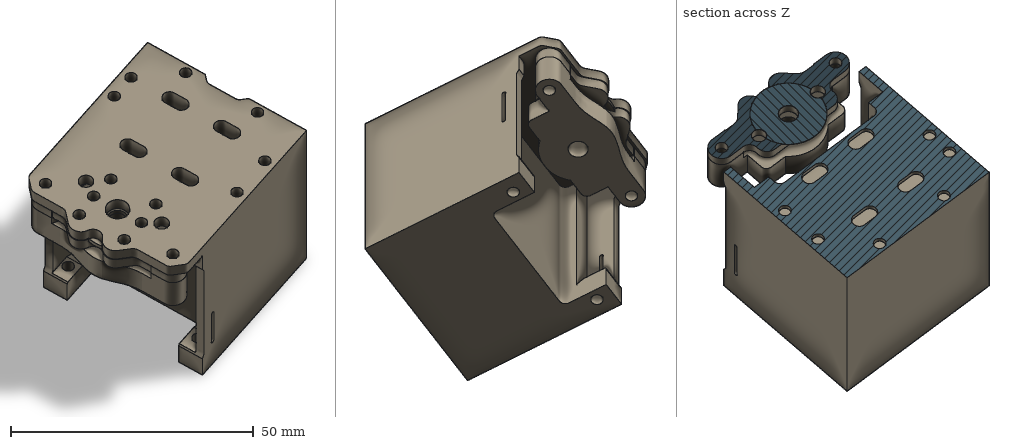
import cadquery as cq
import math

HEIGHT = 42.75
PLATE_BOTTOM = 39.75
CLAMP_BOTTOM = 36.8
BRACKET_TOP = 35.0
BRACKET_BOTTOM = 29.1

WIDTH = 40.0
DEPTH = 48.85
HALF_WIDTH = WIDTH / 2
PLATE_FRONT = 3.35
PLATE_CHAMFER = 2.85
PLATE_CORNER_RADIUS = 1.45
LEG_FRONT = 11.55

LEG_WALL = 2.0
FOOT_TOP = 5.85
FOOT_RAMP_LENGTH = 1.65
FOOT_RAMP_DROP = 0.8
UPPER_POCKET_BACK = 18.7
FOOT_WIDTH = 6.0
LOWER_POCKET_BACK = 22.0
POCKET_CORNER_RADIUS = 1.45
FOOT_HOLE_X = 16.3
FOOT_HOLE_Y = 15.2

STEP_DEPTH = 0.65
STEP_BOTTOM = 5.4
STEP_TOP = 35.3
STEP_SLOPE = 60.0
STEP_ROUND = 1.8

SLIT_Y = FOOT_HOLE_Y
SLIT_WIDTH = 0.9
SLIT_HEIGHT = 9.95
LEFT_SLIT_BOTTOM = 20.05
RIGHT_SLIT_BOTTOM = 7.2

NOTCH_HALF_WIDTH = 5.45
NOTCH_DEPTH = 1.6
NOTCH_CORNER_RADIUS = 1.45

SCREW_DIAMETER = 2.55
BLIND_DEPTH = 4.9
SLOT_LENGTH = 6.1
SLOT_WIDTH = 3.2
SLOT_X = 6.5
SLOT_ROWS = [24.6, 39.63]
REAR_SCREWS = [(-9.05, 46.9), (9.05, 46.9)]
SIDE_SCREWS = [(-17.55, 39.45), (-17.55, 33.4), (17.55, 37.45), (17.55, 27.4)]

HUB_Y = 9.63
HUB_BORE = 4.1
PLATE_BORE = 5.05
DISC_RADIUS = 7.95
DISC_THICKNESS = 1.05
HUB_RADIUS = 8.15
HUB_SCREW_OFFSET = 5.65
HUB_SIDE_HOLE_X = 6.0
PEG_HOLE_X = 8.25
PEG_HOLE_DIAMETER = 3.1
ACCESS_HOLE_X = 9.55
ACCESS_HOLE_OFFSET = 2.25
ACCESS_DIAMETER = 3.2

LOBE_RADIUS = 2.7
LOBE_X = 4.3
NOSE_NOTCH_RADIUS = 2.0
NOSE_NOTCH_Y = LOBE_RADIUS - math.sqrt((LOBE_RADIUS + NOSE_NOTCH_RADIUS) ** 2 - LOBE_X ** 2)
PLATE_NOSE_FILLET = 1.95

POST_X = 16.05
POST_Y = 6.65
POST_RADIUS = 2.9
PAD_RADIUS = 4.55
ARM_FRONT = POST_Y - POST_RADIUS
ARM_BACK = POST_Y + POST_RADIUS

CLAMP_FRONT = 3.9
CLAMP_HALF_WIDTH = 10.7
CLAMP_BACK = 14.45
CLAMP_BACK_RADIUS = 2.45
CLAMP_INNER_RADIUS = 1.95
CLAMP_NOSE_INSET = 0.15
CLAMP_NOSE_FILLET = 2.3

BRACKET_HALF_WIDTH = POST_X - PAD_RADIUS
BRACKET_BACK = 15.2
BRACKET_BACK_RADIUS = 1.45
BRACKET_FRONT_HALF_WIDTH = 10.3
HUB_FRONT_HALF_WIDTH = 1.7


def block(x_min, x_max, y_min, y_max, z_min, z_max):
    size = (x_max - x_min, y_max - y_min, z_max - z_min)
    return cq.Workplane("XY").box(*size, centered=False).translate((x_min, y_min, z_min))


def cylinders(points, diameter, z_min, z_max):
    plane = cq.Workplane("XY").workplane(offset=z_min)
    return plane.pushPoints(points).circle(diameter / 2).extrude(z_max - z_min)


def mirrored(x, y):
    return [(-x, y), (x, y)]


def nose(base_y, inset, fillet, z_min, z_max):
    """Two-lobed nose in front of the line y = base_y, blended into that line by fillets."""
    lobe = LOBE_RADIUS - inset
    notch = NOSE_NOTCH_RADIUS + inset
    diagonal = math.sqrt(0.5)
    flank_x = LOBE_X + lobe * diagonal
    flank_y = LOBE_RADIUS - lobe * diagonal
    corner_x = flank_x + base_y - flank_y
    half_turn = math.radians(22.5)
    tangent = fillet * math.tan(half_turn)
    fillet_mid = (
        corner_x + tangent - fillet * math.sin(half_turn),
        base_y - fillet + fillet * math.cos(half_turn),
    )
    share = notch / (lobe + notch)
    meet_x = LOBE_X * share
    meet_y = NOSE_NOTCH_Y + (LOBE_RADIUS - NOSE_NOTCH_Y) * share
    return (
        cq.Workplane("XY").workplane(offset=z_min)
        .moveTo(-corner_x - tangent, base_y)
        .threePointArc((-fillet_mid[0], fillet_mid[1]),
                       (-corner_x + tangent * diagonal, base_y - tangent * diagonal))
        .lineTo(-flank_x, flank_y)
        .threePointArc((-LOBE_X, LOBE_RADIUS - lobe), (-meet_x, meet_y))
        .threePointArc((0, NOSE_NOTCH_Y + notch), (meet_x, meet_y))
        .threePointArc((LOBE_X, LOBE_RADIUS - lobe), (flank_x, flank_y))
        .lineTo(corner_x - tangent * diagonal, base_y - tangent * diagonal)
        .threePointArc(fillet_mid, (corner_x + tangent, base_y))
        .close()
        .extrude(z_max - z_min)
    )


def top_plate():
    plate = block(-HALF_WIDTH, HALF_WIDTH, PLATE_FRONT, DEPTH, PLATE_BOTTOM, HEIGHT)
    plate = plate.edges("|Z and <Y").chamfer(PLATE_CHAMFER)
    chamfer_zone = cq.selectors.BoxSelector(
        (-WIDTH, PLATE_FRONT - 0.5, 0), (WIDTH, PLATE_FRONT + PLATE_CHAMFER + 0.5, HEIGHT + 0.5)
    )
    plate = plate.edges("|Z").edges(chamfer_zone).fillet(PLATE_CORNER_RADIUS)
    return plate.union(nose(PLATE_FRONT, 0, PLATE_NOSE_FILLET, PLATE_BOTTOM, HEIGHT))


def leg_cavity():
    upper_x = HALF_WIDTH - LEG_WALL
    lower_x = HALF_WIDTH - FOOT_WIDTH
    upper = block(-upper_x, upper_x, 0, UPPER_POCKET_BACK, FOOT_TOP, PLATE_BOTTOM)
    lower = block(-lower_x, lower_x, 0, LOWER_POCKET_BACK, 0, PLATE_BOTTOM)
    lower = lower.edges("|Z and >Y").fillet(POCKET_CORNER_RADIUS)
    ramp_profile = [
        (UPPER_POCKET_BACK - FOOT_RAMP_LENGTH, FOOT_TOP),
        (UPPER_POCKET_BACK, FOOT_TOP - FOOT_RAMP_DROP),
        (UPPER_POCKET_BACK, FOOT_TOP),
    ]
    foot_ramps = cq.Workplane("YZ").polyline(ramp_profile).close().extrude(upper_x, both=True)
    return upper.union(lower).union(foot_ramps)


def leg_step():
    """Shallow recess with sloped ends across the front of both legs."""
    rise = STEP_DEPTH * math.tan(math.radians(STEP_SLOPE))
    step_back = LEG_FRONT + STEP_DEPTH
    profile = [
        (LEG_FRONT, STEP_BOTTOM),
        (step_back, STEP_BOTTOM + rise),
        (step_back, STEP_TOP - rise),
        (LEG_FRONT, STEP_TOP),
    ]
    step = cq.Workplane("YZ").polyline(profile).close().extrude(HALF_WIDTH, both=True)
    return step.edges("|X and >Y").fillet(STEP_ROUND)


def wall_slit(wall_x, bottom):
    """Round-ended slit through the leg wall that starts at wall_x."""
    return (
        cq.Workplane("YZ", origin=(wall_x, SLIT_Y, bottom + SLIT_HEIGHT / 2))
        .slot2D(SLIT_HEIGHT, SLIT_WIDTH, 90)
        .extrude(LEG_WALL)
    )


def wall_slits():
    left = wall_slit(-HALF_WIDTH, LEFT_SLIT_BOTTOM)
    right = wall_slit(HALF_WIDTH - LEG_WALL, RIGHT_SLIT_BOTTOM)
    return left.union(right)


def rear_notch():
    bottom_x = NOTCH_HALF_WIDTH - NOTCH_DEPTH
    outline = [
        (-NOTCH_HALF_WIDTH, DEPTH),
        (-bottom_x, DEPTH - NOTCH_DEPTH),
        (bottom_x, DEPTH - NOTCH_DEPTH),
        (NOTCH_HALF_WIDTH, DEPTH),
    ]
    notch = (
        cq.Workplane("XY").workplane(offset=PLATE_BOTTOM)
        .polyline(outline).close().extrude(HEIGHT - PLATE_BOTTOM)
    )
    return notch.edges("|Z and <Y").fillet(NOTCH_CORNER_RADIUS)


def plate_holes():
    screws = (
        mirrored(HUB_SCREW_OFFSET, HUB_Y - HUB_SCREW_OFFSET)
        + mirrored(HUB_SCREW_OFFSET, HUB_Y + HUB_SCREW_OFFSET)
        + mirrored(HUB_SIDE_HOLE_X, HUB_Y)
        + mirrored(POST_X, POST_Y)
    )
    holes = cylinders(screws, SCREW_DIAMETER, PLATE_BOTTOM, HEIGHT)
    holes = holes.union(cylinders([(0, HUB_Y)], PLATE_BORE, PLATE_BOTTOM, HEIGHT))
    access = mirrored(ACCESS_HOLE_X, HUB_Y + ACCESS_HOLE_OFFSET)
    return holes.union(cylinders(access, ACCESS_DIAMETER, PLATE_BOTTOM, HEIGHT))


def blind_holes():
    floor = HEIGHT - BLIND_DEPTH
    slot_centers = [point for y in SLOT_ROWS for point in mirrored(SLOT_X, y)]
    slots = (
        cq.Workplane("XY").workplane(offset=floor)
        .pushPoints(slot_centers).slot2D(SLOT_LENGTH, SLOT_WIDTH).extrude(BLIND_DEPTH)
    )
    return slots.union(cylinders(REAR_SCREWS + SIDE_SCREWS, SCREW_DIAMETER, floor, HEIGHT))


def make_housing():
    housing = block(-HALF_WIDTH, HALF_WIDTH, LEG_FRONT, DEPTH, 0, HEIGHT).union(top_plate())
    foot_holes = cylinders(mirrored(FOOT_HOLE_X, FOOT_HOLE_Y), SCREW_DIAMETER, 0, FOOT_TOP)
    for cutter in (leg_cavity(), leg_step(), wall_slits(), rear_notch(),
                   plate_holes(), blind_holes(), foot_holes):
        housing = housing.cut(cutter)
    return housing


def peg_holes():
    return cylinders(mirrored(PEG_HOLE_X, HUB_Y), PEG_HOLE_DIAMETER, CLAMP_BOTTOM, PLATE_BOTTOM)


def hub_bore():
    return cylinders([(0, HUB_Y)], HUB_BORE, BRACKET_BOTTOM, PLATE_BOTTOM)


def post_holes():
    return cylinders(mirrored(POST_X, POST_Y), SCREW_DIAMETER, BRACKET_BOTTOM, PLATE_BOTTOM)


def disc_blank():
    return cylinders([(0, HUB_Y)], 2 * DISC_RADIUS, PLATE_BOTTOM - DISC_THICKNESS, PLATE_BOTTOM)


def make_disc():
    return disc_blank().cut(hub_bore()).cut(peg_holes())


def post_bar(z_min, z_max):
    """Bar from post to post with fully round ends."""
    end_x = POST_X + POST_RADIUS
    return (
        cq.Workplane("XY", origin=(0, POST_Y, z_min))
        .slot2D(2 * end_x, 2 * POST_RADIUS)
        .extrude(z_max - z_min)
    )


def post_pads(z_min, z_max):
    """Ends of the post bar, rounded on the inside about the post holes."""
    rounds = cylinders(mirrored(POST_X, POST_Y), 2 * PAD_RADIUS, z_min, z_max)
    return post_bar(z_min, z_max).intersect(rounds)


def make_clamp():
    bounds = (CLAMP_BOTTOM, PLATE_BOTTOM)
    core = block(-CLAMP_HALF_WIDTH, CLAMP_HALF_WIDTH, CLAMP_FRONT, CLAMP_BACK, *bounds)
    core = core.edges("|Z and >Y").fillet(CLAMP_BACK_RADIUS)
    bar = block(-POST_X, POST_X, CLAMP_FRONT, ARM_BACK, *bounds)
    inner_corners = cq.selectors.BoxSelector(
        (-CLAMP_HALF_WIDTH - 0.5, ARM_BACK - 0.5, 0), (CLAMP_HALF_WIDTH + 0.5, ARM_BACK + 0.5, HEIGHT)
    )
    clamp = core.union(bar).edges("|Z").edges(inner_corners).fillet(CLAMP_INNER_RADIUS)
    clamp = clamp.union(post_pads(*bounds))
    clamp = clamp.union(nose(CLAMP_FRONT, CLAMP_NOSE_INSET, CLAMP_NOSE_FILLET, *bounds))
    for cutter in (disc_blank(), hub_bore(), peg_holes(), post_holes()):
        clamp = clamp.cut(cutter)
    return clamp


def bracket_front():
    """Web that swells smoothly from the straight front of the bar to the hub."""
    reach = HUB_FRONT_HALF_WIDTH
    hub_drop = math.sqrt(HUB_RADIUS ** 2 - reach ** 2)
    slope = reach / hub_drop
    hub_y = HUB_Y - hub_drop
    start_x = BRACKET_FRONT_HALF_WIDTH
    return (
        cq.Workplane("XY").workplane(offset=BRACKET_BOTTOM)
        .moveTo(-start_x, ARM_FRONT)
        .spline([(-reach, hub_y)], tangents=[(1, 0), (1, -slope)], includeCurrent=True)
        .threePointArc((0, HUB_Y - HUB_RADIUS), (reach, hub_y))
        .spline([(start_x, ARM_FRONT)], tangents=[(1, slope), (1, 0)], includeCurrent=True)
        .lineTo(start_x, HUB_Y)
        .lineTo(-start_x, HUB_Y)
        .close()
        .extrude(BRACKET_TOP - BRACKET_BOTTOM)
    )


def make_bracket():
    bounds = (BRACKET_BOTTOM, BRACKET_TOP)
    core = block(-BRACKET_HALF_WIDTH, BRACKET_HALF_WIDTH, POST_Y, BRACKET_BACK, *bounds)
    core = core.edges("|Z and >Y").fillet(BRACKET_BACK_RADIUS)
    hub = cylinders([(0, HUB_Y)], 2 * HUB_RADIUS, *bounds)
    bracket = post_bar(*bounds).union(core).union(hub).union(bracket_front())
    bracket = bracket.union(post_pads(BRACKET_BOTTOM, CLAMP_BOTTOM))
    return bracket.cut(hub_bore()).cut(post_holes())


housing = make_housing()
disc = make_disc()
clamp = make_clamp()
bracket = make_bracket()

result = cq.Compound.makeCompound([housing.val(), disc.val(), clamp.val(), bracket.val()])